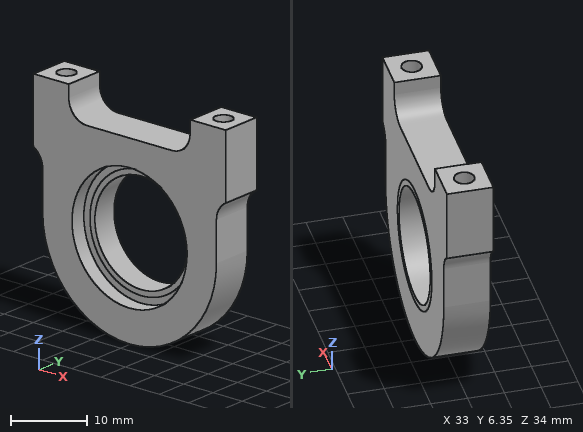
import cadquery as cq
import math

width = 33.02
thickness = 6.35
height = 33.97
lower_radius = 14.9
top_z = height - lower_radius
corner_radius = 3.13

notch_width = 20.8
notch_depth = 5.05
notch_z = top_z - notch_depth

ear_height = 10.22
ear_bottom_z = top_z - ear_height
shoulder_overhang = width / 2 - lower_radius
shoulder_drop = math.sqrt(corner_radius**2 - (corner_radius - shoulder_overhang) ** 2)
shoulder_z = ear_bottom_z - shoulder_drop

recess_radius = 9.85
recess_depth = 2.4
bushing_outer_radius = 8.8
bushing_inner_radius = 7.95
bushing_length = thickness - recess_depth

hole_diameter = 2.72
hole_depth = 6.8
drill_point_angle = 118.0
hole_x = (width + notch_width) / 4

front_y = -thickness / 2
back_y = thickness / 2


def cylinder_along_y(radius, start_y, length):
    return cq.Workplane("XZ", origin=(0, start_y, 0)).circle(radius).extrude(-length)


def make_plate():
    half_width = width / 2
    half_notch = notch_width / 2
    sweep = math.asin(shoulder_drop / corner_radius)
    mid_x = lower_radius + corner_radius * (1 - math.cos(sweep / 2))
    mid_z = shoulder_z + corner_radius * math.sin(sweep / 2)
    plate = (
        cq.Workplane("XZ", origin=(0, back_y, 0))
        .moveTo(-lower_radius, 0)
        .threePointArc((0, -lower_radius), (lower_radius, 0))
        .lineTo(lower_radius, shoulder_z)
        .threePointArc((mid_x, mid_z), (half_width, ear_bottom_z))
        .lineTo(half_width, top_z)
        .lineTo(half_notch, top_z)
        .lineTo(half_notch, notch_z)
        .lineTo(-half_notch, notch_z)
        .lineTo(-half_notch, top_z)
        .lineTo(-half_width, top_z)
        .lineTo(-half_width, ear_bottom_z)
        .threePointArc((-mid_x, mid_z), (-lower_radius, shoulder_z))
        .close()
        .extrude(thickness)
    )
    notch_corners = cq.selectors.BoxSelector(
        (-width, -thickness, notch_z - corner_radius), (width, thickness, notch_z + corner_radius)
    )
    return plate.edges("|Y").edges(notch_corners).fillet(corner_radius)


def make_ear_hole(x):
    """Blind drilled hole with a conical bottom."""
    radius = hole_diameter / 2
    point_length = radius / math.tan(math.radians(drill_point_angle / 2))
    return (
        cq.Workplane("XZ")
        .moveTo(0, top_z)
        .lineTo(radius, top_z)
        .lineTo(radius, top_z - hole_depth)
        .lineTo(0, top_z - hole_depth - point_length)
        .close()
        .revolve(axisStart=(0, 0, 0), axisEnd=(0, 1, 0))
        .translate((x, 0, 0))
    )


def make_housing():
    housing = make_plate()
    housing = housing.cut(cylinder_along_y(bushing_outer_radius, front_y, thickness))
    housing = housing.cut(cylinder_along_y(recess_radius, front_y, recess_depth))
    for x in (-hole_x, hole_x):
        housing = housing.cut(make_ear_hole(x))
    return housing


def make_bushing():
    """Plain sleeve from the recess floor to the back face."""
    start_y = front_y + recess_depth
    sleeve = cylinder_along_y(bushing_outer_radius, start_y, bushing_length)
    return sleeve.cut(cylinder_along_y(bushing_inner_radius, start_y, bushing_length))


housing = make_housing()
bushing = make_bushing()

result = cq.Compound.makeCompound([housing.val(), bushing.val()])